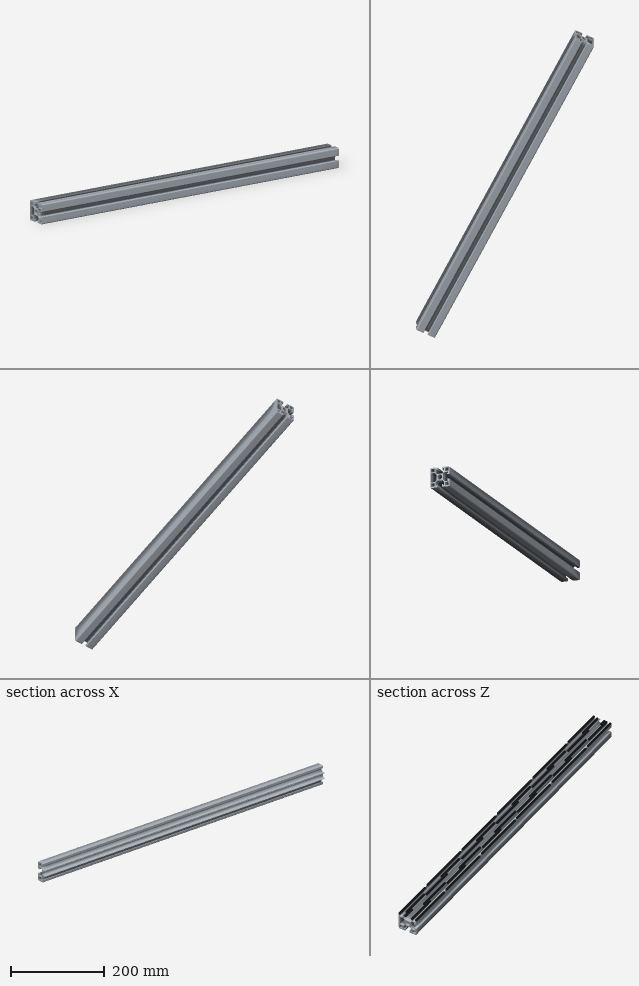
import cadquery as cq
import math

LENGTH = 770.0
SIDE = 45.0
CORNER_RADIUS = 2.85
SKIN = 2.6
LIP_DEPTH = 5.9
LIP_EDGE_WIDTH = 2.0
LIP_BASE = 3.2
SLOT_MOUTH = 10.0
LIP_CHAMFER = 1.2
CAVITY_WIDTH = 20.0
CORE_SIDE = 15.5
BORE_DIAMETER = 11.0
GROOVE_TOP = 6.4
GROOVE_BOTTOM = 3.0
GROOVE_DEPTH = 0.4
CHAMBER_WALL = 2.2
WEB_THICKNESS = 1.7

half_side = SIDE / 2
half_mouth = SLOT_MOUTH / 2
half_cavity = CAVITY_WIDTH / 2
half_core = CORE_SIDE / 2
skin_inside = half_side - SKIN
chamber_start = half_cavity + CHAMBER_WALL
web_offset = WEB_THICKNESS / math.sqrt(2)


def extrude_symmetric(right_half):
    """Extrude a section outline given by its +X half as (x, z) points from bottom to top."""
    left_half = [(-x, z) for x, z in reversed(right_half)]
    outline = cq.Workplane("XZ").polyline(right_half + left_half).close()
    return outline.extrude(LENGTH / 2, both=True)


def turn(body, angle):
    """Turn a body about the lengthwise axis; positive angles go from +Z towards +X."""
    return body.rotate((0, 0, 0), (0, 1, 0), angle)


def slot_floor():
    """Half outline shared by all slots: grooved core face, web flank, start of the side wall."""
    return [
        (GROOVE_BOTTOM / 2, half_core - GROOVE_DEPTH),
        (GROOVE_TOP / 2, half_core),
        (half_core - web_offset, half_core),
        (half_cavity, half_cavity + web_offset),
    ]


def open_slot():
    """T-slot void facing +Z, with thickened lip edges beside a bevelled mouth."""
    lip_tip = half_side - LIP_DEPTH
    lip_underside = half_side - LIP_BASE
    lip_edge_end = half_mouth + LIP_EDGE_WIDTH
    lip = [
        (half_cavity, lip_underside),
        (lip_edge_end, lip_underside),
        (lip_edge_end, lip_tip),
        (half_mouth, lip_tip),
        (half_mouth, half_side - LIP_CHAMFER),
        (half_mouth + LIP_CHAMFER, half_side),
    ]
    return extrude_symmetric(slot_floor() + lip)


def closed_slot():
    """Slot void towards +Z that ends at the outer wall."""
    return extrude_symmetric(slot_floor() + [(half_cavity, skin_inside)])


def corner_chamber():
    """Square hollow in the +X +Z corner."""
    centre = (chamber_start + skin_inside) / 2
    width = skin_inside - chamber_start
    return cq.Workplane("XY").box(width, LENGTH, width).translate((centre, 0, centre))


bar = cq.Workplane("XY").box(SIDE, LENGTH, SIDE).edges("|Y").fillet(CORNER_RADIUS)
bar = bar.faces("<Y").workplane(centerOption="CenterOfBoundBox").hole(BORE_DIAMETER)

for angle in (0, 90, 180):
    bar = bar.cut(turn(open_slot(), angle))
bar = bar.cut(turn(closed_slot(), 270))

for angle in (0, 90, 180, 270):
    bar = bar.cut(turn(corner_chamber(), angle))

result = bar